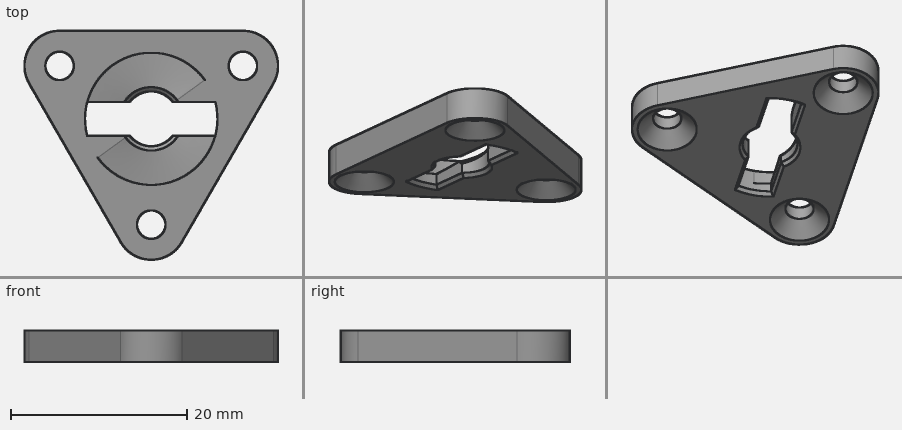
import cadquery as cq
import math

thickness = 3.6
corner_radius = 4.0
hole_circle_radius = 12.0
hole_angles = (30, 150, 270)

hole_diameter = 3.2
countersink_diameter = 6.7
countersink_angle = 90

bore_radius = 3.1
slot_width = 3.8
key_radius = 7.5
edge_chamfer = 0.5
bottom_bevel_height = 0.5
bottom_bevel_width = 0.35

ramp_start_angle = 36.0
ramp_end_angle = 180.0
ramp_depth = 2.0

OVERLAP = 1.0


def corner_centres():
    """XY points shared by the corner arcs and the screw holes."""
    return [
        (
            hole_circle_radius * math.cos(math.radians(angle)),
            hole_circle_radius * math.sin(math.radians(angle)),
        )
        for angle in hole_angles
    ]


def make_plate():
    return (
        cq.Workplane("XY")
        .polyline(corner_centres())
        .close()
        .offset2D(corner_radius, "arc")
        .extrude(thickness)
    )


def cut_screw_holes(body):
    return (
        body.faces("<Z")
        .workplane(origin=(0, 0, 0))
        .pushPoints([(x, -y) for x, y in corner_centres()])
        .cskHole(hole_diameter, countersink_diameter, countersink_angle)
    )


def key_opening(height, growth=0.0, taper=0.0):
    """Bore plus round-ended slot on Z = 0, grown by `growth` and narrowing upward by `taper` degrees."""
    base = cq.Workplane("XY")
    strip_length = 2 * (key_radius + growth + OVERLAP)
    slot = base.rect(strip_length, slot_width + 2 * growth).extrude(height, taper=taper)
    slot_reach = base.circle(key_radius + growth).extrude(height, taper=taper)
    bore = base.circle(bore_radius + growth).extrude(height, taper=taper)
    return slot.intersect(slot_reach).union(bore)


def cut_key_opening(body):
    bevel_angle = math.degrees(math.atan2(bottom_bevel_width, bottom_bevel_height))
    bottom_bevel = key_opening(bottom_bevel_height, bottom_bevel_width, bevel_angle)
    return body.cut(key_opening(thickness)).cut(bottom_bevel)


def cut_bore_top_chamfer(body):
    bevel = (
        cq.Workplane("XZ")
        .moveTo(0, thickness - edge_chamfer)
        .lineTo(bore_radius, thickness - edge_chamfer)
        .lineTo(bore_radius + edge_chamfer, thickness)
        .lineTo(0, thickness)
        .close()
        .revolve(360, (0, 0, 0), (0, 1, 0))
    )
    return body.cut(bevel)


def make_ramp_cutter():
    """Helical sweep of the ramp's radial section, rising clockwise from its deep end at +X."""
    sweep_angle = ramp_end_angle - ramp_start_angle
    pitch = ramp_depth * 360 / sweep_angle
    path = cq.Wire.makeHelix(pitch, ramp_depth, key_radius, lefthand=True)
    top = ramp_depth + OVERLAP
    inner_radius = bore_radius - OVERLAP
    section = [
        (inner_radius, -edge_chamfer),
        (bore_radius, -edge_chamfer),
        (bore_radius + edge_chamfer, 0),
        (key_radius, 0),
        (key_radius, top),
        (inner_radius, top),
    ]
    return cq.Workplane("XZ").polyline(section).close().sweep(cq.Workplane(path), isFrenet=True)


def cut_ramps(body):
    cutter = make_ramp_cutter().translate((0, 0, thickness - ramp_depth))
    for turn in (0, 180):
        body = body.cut(cutter.rotate((0, 0, 0), (0, 0, 1), ramp_end_angle + turn))
    return body


result = make_plate()
result = cut_screw_holes(result)
result = cut_key_opening(result)
result = cut_bore_top_chamfer(result)
result = cut_ramps(result)